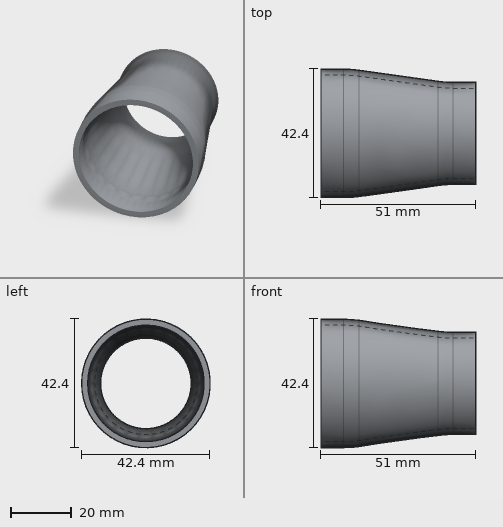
import cadquery as cq
import math

length = 51.0
wide_diameter = 42.4
narrow_diameter = 33.7
wall = 2.0
collar_length = 7.5
bend_tangent = 2.5


def reducer_body(wide_radius, narrow_radius):
    """Solid of revolution: collar, bend, cone, bend, collar."""
    wide_corner = collar_length + bend_tangent
    narrow_corner = length - wide_corner
    slope = math.atan2(wide_radius - narrow_radius, narrow_corner - wide_corner)
    along = bend_tangent * math.cos(slope)
    drop = bend_tangent * math.sin(slope)
    return (
        cq.Workplane("XY")
        .lineTo(0, wide_radius)
        .lineTo(collar_length, wide_radius)
        .tangentArcPoint((wide_corner + along, wide_radius - drop), relative=False)
        .lineTo(narrow_corner - along, narrow_radius + drop)
        .tangentArcPoint((length - collar_length, narrow_radius), relative=False)
        .lineTo(length, narrow_radius)
        .lineTo(length, 0)
        .close()
        .revolve(360, (0, 0, 0), (1, 0, 0))
    )


outside = reducer_body(wide_diameter / 2, narrow_diameter / 2)
bore = reducer_body(wide_diameter / 2 - wall, narrow_diameter / 2 - wall)
result = outside.cut(bore)